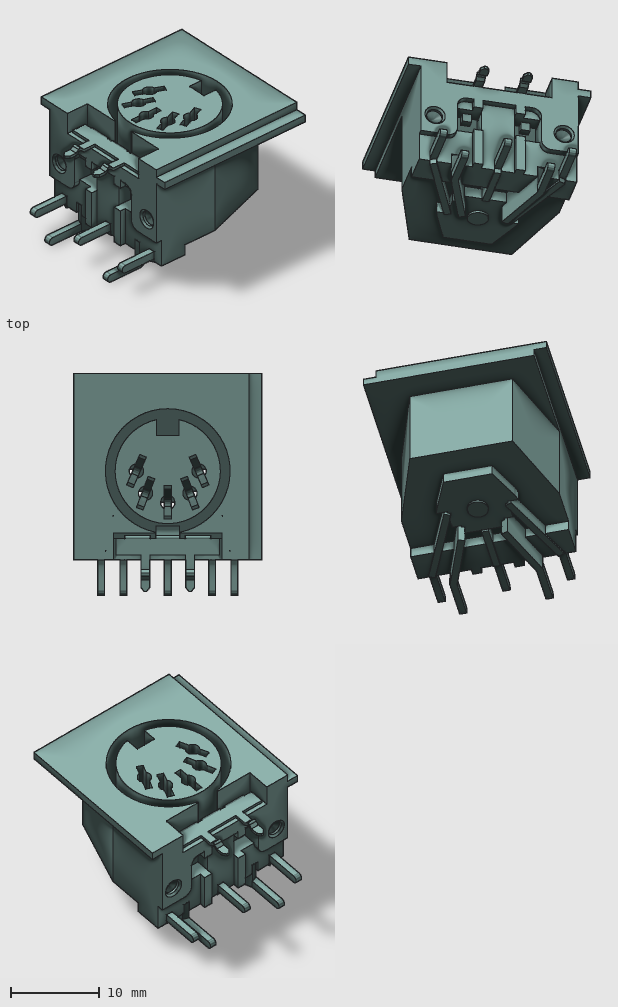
import cadquery as cq
import math


top_half_span = 10.6
body_half_width = 9.15
plate_depth = 21.0
plate_thickness = 1.0
flange_bottom = -1.92
body_bottom = -12.0
foot_bottom = -13.35
foot_depth = 4.3
taper_start = 8.75
body_depth = 18.0
rear_half_width = 5.95

axis_y = 10.0
groove_outer_radius = 7.02
groove_inner_radius = 5.92
groove_depth = 8.5
key_half_width = 1.25
key_end_y = 14.0

recess_depth = 0.75
arch_half_width = 4.88
arch_top = -4.5
apron_bottom = -9.9
apron_radius = 1.1
rib_inner = 1.92
rib_outer = 2.98
window_top = -5.58
window_bottom = -8.65
window_depth = 2.75
stop_size = 1.05
stop_depth = 0.85
screw_x = 7.5
screw_z = -7.5
screw_radius = 0.92
screw_rim_radius = 1.18
screw_depth = 0.55
screw_cone_depth = 0.55
screw_rim_depth = 0.25

sheet = 0.35
bend_radius = 0.32
ledge_half_width = 6.1
ledge_depth = 3.0
ledge_floor = -2.7
shield_half_width = 5.82
shield_front = 0.55
tab_inner = 2.0
tab_outer = 4.8
tab_bottom = -8.58
finger_half_width = 1.35
finger_bottom = -7.5
finger_lean = 1.08
slot_clearance = 0.05
prong_x = 2.52
prong_width = 1.0
prong_tip_y = -3.58
prong_taper = 0.45
prong_tip_width = 0.28
bump_start = -1.08
bump_end = -2.25
bump_rise = 0.78
bump_crest = 0.4
bump_ramp_rise = 0.3
shield_rear = window_depth
shield_top = ledge_floor + sheet

contact_thickness = 0.8
contact_circle = 3.52
contact_spacing_angle = 45.0
contact_hole_radius = 0.8
fork_half_width = 1.88
fork_tip = -3.0
fork_tip_width = 0.35
fork_throat_radius = 0.45
fork_funnel_angle = 50.0
fork_throat_z = -6.5
pin_height = 1.0
pin_tip_y = -4.0
blade_front_y = 0.88
pin_overlap = 0.2
short_blade_bottom = -13.62
long_blade_bottom = -15.5
inner_pin_x = 5.0
outer_pin_x = 7.5

cover_step_gap = 0.2
cover_half_width = 4.75
cover_corner = (4.52, 10.9)
cover_rear = (2.82, 14.8)
peg_radius = 1.2


def box(x_min, x_max, y_min, y_max, z_min, z_max):
    """Block given by its limits along each axis."""
    size = (x_max - x_min, y_max - y_min, z_max - z_min)
    return cq.Workplane("XY").box(*size, centered=False).translate((x_min, y_min, z_min))


def both_sides(shape):
    """The shape together with its mirror image across x = 0."""
    return shape.union(shape.mirror("YZ"))


def extrude_along_x(points, half_width):
    """Side profile in (y, z) extruded symmetrically about x = 0."""
    return cq.Workplane("YZ").polyline(points).close().extrude(half_width, both=True)



def contact_layout():
    """(hole x, hole y, pin x, blade bottom, pin bottom) for each of the five contacts."""
    upper_pin_bottom = body_bottom - pin_height
    outer = (outer_pin_x, short_blade_bottom, upper_pin_bottom)
    inner = (inner_pin_x, long_blade_bottom, long_blade_bottom)
    middle = (0.0, short_blade_bottom, upper_pin_bottom)
    layout = []
    for step in (-2, -1, 0, 1, 2):
        pin_x, blade_bottom, pin_bottom = (middle, inner, outer)[abs(step)]
        turn = math.radians(contact_spacing_angle * step)
        hole_x = contact_circle * math.sin(turn)
        hole_y = axis_y - contact_circle * math.cos(turn)
        layout.append((hole_x, hole_y, math.copysign(pin_x, step), blade_bottom, pin_bottom))
    return layout


def blade_plane(hole_x, hole_y, pin_x):
    """Vertical plane through the hole and the pin; its local x runs forward, its local y up."""
    forward = cq.Vector(pin_x - hole_x, blade_front_y - hole_y, 0).normalized()
    normal = forward.cross(cq.Vector(0, 0, 1))
    return cq.Plane(origin=(hole_x, hole_y, 0), xDir=forward, normal=normal)


def blade_length(hole_x, hole_y, pin_x):
    return math.hypot(pin_x - hole_x, blade_front_y - hole_y)


def contact(hole_x, hole_y, pin_x, blade_bottom, pin_bottom):
    """Forked sheet contact with a tail blade and a round-ended solder pin."""
    length = blade_length(hole_x, hole_y, pin_x)
    throat = fork_throat_radius
    prong_inner = fork_half_width - fork_tip_width
    lip_z = fork_tip - (prong_inner - throat) * math.tan(math.radians(fork_funnel_angle))
    blade = (
        cq.Workplane(blade_plane(hole_x, hole_y, pin_x))
        .moveTo(-fork_half_width, body_bottom)
        .lineTo(-fork_half_width, fork_tip)
        .lineTo(-prong_inner, fork_tip)
        .lineTo(-throat, lip_z)
        .lineTo(-throat, fork_throat_z)
        .threePointArc((0, fork_throat_z - throat), (throat, fork_throat_z))
        .lineTo(throat, lip_z)
        .lineTo(prong_inner, fork_tip)
        .lineTo(fork_half_width, fork_tip)
        .lineTo(fork_half_width, body_bottom)
        .lineTo(length, body_bottom)
        .lineTo(length, blade_bottom)
        .lineTo(0, blade_bottom)
        .lineTo(0, body_bottom)
        .close()
        .extrude(contact_thickness / 2, both=True)
    )
    tip_radius = pin_height / 2
    pin_rear = blade_front_y + pin_overlap
    pin = (
        cq.Workplane("YZ", origin=(pin_x, 0, 0))
        .moveTo(pin_rear, pin_bottom)
        .lineTo(pin_tip_y + tip_radius, pin_bottom)
        .threePointArc(
            (pin_tip_y, pin_bottom + tip_radius),
            (pin_tip_y + tip_radius, pin_bottom + pin_height),
        )
        .lineTo(pin_rear, pin_bottom + pin_height)
        .close()
        .extrude(contact_thickness / 2, both=True)
    )
    return blade.union(pin)


def tail_space(hole_x, hole_y, pin_x):
    """Space taken by one tail blade below the housing body."""
    length = blade_length(hole_x, hole_y, pin_x)
    return (
        cq.Workplane(blade_plane(hole_x, hole_y, pin_x))
        .polyline([(0, body_bottom), (length, body_bottom), (length, foot_bottom), (0, foot_bottom)])
        .close()
        .extrude(contact_thickness / 2, both=True)
    )


def contact_cavity(hole_x, hole_y, pin_x):
    """Space in the housing for one contact: round hole, fork slot, blade slot and pin notch."""
    hole = cq.Workplane("XY").center(hole_x, hole_y).circle(contact_hole_radius).extrude(body_bottom)
    plane = blade_plane(hole_x, hole_y, pin_x)
    fork_slot = (
        cq.Workplane(plane)
        .polyline([
            (-fork_half_width, 0),
            (fork_half_width, 0),
            (fork_half_width, body_bottom),
            (-fork_half_width, body_bottom),
        ])
        .close()
        .extrude(contact_thickness / 2, both=True)
    )
    half = contact_thickness / 2
    notch = box(pin_x - half, pin_x + half, 0, blade_front_y + pin_overlap, foot_bottom, body_bottom)
    return hole.union(fork_slot).union(notch).union(tail_space(hole_x, hole_y, pin_x))



def housing_blank():
    """Top plate, offset flange layer, tapered body and front foot."""
    plate = box(-top_half_span, body_half_width, 0, plate_depth, -plate_thickness, 0)
    flange = box(-body_half_width, top_half_span, 0, plate_depth, flange_bottom, -plate_thickness)
    body = (
        cq.Workplane("XY")
        .polyline([
            (-body_half_width, 0),
            (body_half_width, 0),
            (body_half_width, taper_start),
            (rear_half_width, body_depth),
            (-rear_half_width, body_depth),
            (-body_half_width, taper_start),
        ])
        .close()
        .extrude(body_bottom)
    )
    foot = box(-body_half_width, body_half_width, 0, foot_depth, foot_bottom, body_bottom)
    return plate.union(flange).union(body).union(foot)


def socket_groove():
    """Ring groove around the contact disc, with the key slot."""
    ring = (
        cq.Workplane("XY")
        .center(0, axis_y)
        .circle(groove_outer_radius)
        .circle(groove_inner_radius)
        .extrude(-groove_depth)
    )
    key_outer_y = axis_y + (groove_inner_radius + groove_outer_radius) / 2
    key = box(-key_half_width, key_half_width, key_end_y, key_outer_y, -groove_depth, 0)
    return ring.union(key)


def front_recess():
    """Shallow arched recess of the front face, leaving two aprons and two ribs."""
    radius = apron_radius
    arc_inset = radius * (1 - math.sqrt(0.5))
    right_half = (
        cq.Workplane("XZ")
        .moveTo(0, foot_bottom)
        .lineTo(body_half_width, foot_bottom)
        .lineTo(body_half_width, apron_bottom)
        .lineTo(arch_half_width + radius, apron_bottom)
        .threePointArc(
            (arch_half_width + arc_inset, apron_bottom + arc_inset),
            (arch_half_width, apron_bottom + radius),
        )
        .lineTo(arch_half_width, arch_top - radius)
        .threePointArc(
            (arch_half_width - arc_inset, arch_top - arc_inset),
            (arch_half_width - radius, arch_top),
        )
        .lineTo(0, arch_top)
        .close()
        .extrude(-recess_depth)
    )
    rib = box(rib_inner, rib_outer, 0, recess_depth, foot_bottom, arch_top)
    return both_sides(right_half.cut(rib))


def windows():
    """Two deep windows, each with a stop block left hanging from its ceiling."""
    window = box(rib_inner, arch_half_width, 0, window_depth, window_bottom, window_top)
    center = (rib_inner + arch_half_width) / 2
    tab_front = shield_rear - sheet
    stop = box(
        center - stop_size / 2, center + stop_size / 2,
        tab_front - stop_depth, tab_front,
        window_top - stop_size, window_top,
    )
    return both_sides(window.cut(stop))


def screw_holes():
    """Two blind holes with a chamfered rim and a conical bottom."""
    profile = [
        (0, 0),
        (screw_rim_radius, 0),
        (screw_radius, screw_rim_depth),
        (screw_radius, screw_depth),
        (0, screw_depth + screw_cone_depth),
    ]
    hole = cq.Workplane("XY").polyline(profile).close().revolve(360, (0, 0, 0), (0, 1, 0))
    return both_sides(hole.translate((screw_x, 0, screw_z)))


def shield_pocket():
    """Ledge for the shield plate and the slots behind it for its tabs and its spring finger."""
    ledge = box(-ledge_half_width, ledge_half_width, 0, ledge_depth, ledge_floor, 0)
    tab_front = shield_rear - sheet
    tab_slot = box(-ledge_half_width, ledge_half_width, tab_front, ledge_depth, window_top, ledge_floor)
    half = finger_half_width + slot_clearance
    finger_end = shield_rear + finger_lean + slot_clearance
    finger_slot = box(-half, half, tab_front, finger_end, -groove_depth, 0)
    return ledge.union(tab_slot).union(finger_slot)


def make_housing():
    shape = housing_blank()
    shape = shape.cut(socket_groove())
    shape = shape.cut(front_recess())
    shape = shape.cut(windows())
    shape = shape.cut(screw_holes())
    shape = shape.cut(shield_pocket())
    for hole_x, hole_y, pin_x, _, _ in contact_layout():
        shape = shape.cut(contact_cavity(hole_x, hole_y, pin_x))
    return shape



def shield_prong():
    """Forward prong with a raised bump and a pointed tip."""
    crest_rear = (bump_start + bump_end + bump_crest) / 2
    crest_middle = crest_rear - bump_crest / 2
    crest_front = crest_rear - bump_crest
    ramp_top = shield_top + bump_ramp_rise
    ramp_underside = ledge_floor + bump_ramp_rise
    bump_top = ledge_floor + bump_rise
    bump_underside = bump_top - sheet
    strip = (
        cq.Workplane("YZ")
        .moveTo(shield_front, ledge_floor)
        .lineTo(bump_start, ledge_floor)
        .lineTo(crest_rear, ramp_underside)
        .threePointArc((crest_middle, bump_underside), (crest_front, ramp_underside))
        .lineTo(bump_end, ledge_floor)
        .lineTo(prong_tip_y, ledge_floor)
        .lineTo(prong_tip_y, shield_top)
        .lineTo(bump_end, shield_top)
        .lineTo(crest_front, ramp_top)
        .threePointArc((crest_middle, bump_top), (crest_rear, ramp_top))
        .lineTo(bump_start, shield_top)
        .lineTo(shield_front, shield_top)
        .close()
        .extrude(prong_width / 2, both=True)
    )
    tip_start = prong_tip_y + prong_taper
    outline = (
        cq.Workplane("XY")
        .polyline([
            (-prong_width / 2, shield_front),
            (-prong_width / 2, tip_start),
            (-prong_tip_width / 2, prong_tip_y),
            (prong_tip_width / 2, prong_tip_y),
            (prong_width / 2, tip_start),
            (prong_width / 2, shield_front),
        ])
        .close()
        .extrude(ledge_floor)
    )
    return strip.intersect(outline).translate((prong_x, 0, 0))


def make_shield():
    """Ground shield: flat plate, two bent-down tabs, a leaning spring finger and two prongs."""
    tab_front = shield_rear - sheet
    plate = box(-shield_half_width, shield_half_width, shield_front, tab_front, ledge_floor, shield_top)
    tab = box(tab_inner, tab_outer, tab_front, shield_rear, tab_bottom, shield_top)
    tab = tab.edges("|X and >Y and >Z").fillet(bend_radius)
    finger = extrude_along_x(
        [
            (tab_front, shield_top),
            (shield_rear, shield_top),
            (shield_rear, ledge_floor),
            (shield_rear + finger_lean, finger_bottom),
            (tab_front + finger_lean, finger_bottom),
            (tab_front, ledge_floor),
        ],
        finger_half_width,
    )
    finger = finger.edges("|X and >Z").edges(">Y").fillet(bend_radius)
    return plate.union(both_sides(tab)).union(finger).union(both_sides(shield_prong()))



def make_cover():
    """Stepped rear cover plate behind the contact tails, with a central peg."""
    turn = math.radians(contact_spacing_angle)
    inner_x = contact_circle * math.sin(turn)
    middle_y = axis_y - contact_circle
    inner_y = axis_y - contact_circle * math.cos(turn) + cover_step_gap
    outer_y = axis_y + cover_step_gap
    right_side = [
        (inner_x, middle_y),
        (inner_x, inner_y),
        (contact_circle, inner_y),
        (contact_circle, outer_y),
        (cover_half_width, outer_y),
        cover_corner,
        cover_rear,
    ]
    left_side = [(-x, y) for x, y in reversed(right_side)]
    plate = (
        cq.Workplane("XY", origin=(0, 0, foot_bottom))
        .polyline(right_side + left_side)
        .close()
        .extrude(body_bottom - foot_bottom)
    )
    peg = (
        cq.Workplane("XY", origin=(0, axis_y, body_bottom))
        .circle(peg_radius)
        .extrude(short_blade_bottom - body_bottom)
    )
    for hole_x, hole_y, pin_x, _, _ in contact_layout():
        plate = plate.cut(tail_space(hole_x, hole_y, pin_x))
    return plate.union(peg)


housing = make_housing()
shield = make_shield()
cover = make_cover()
contacts = [contact(*place) for place in contact_layout()]

result = cq.Compound.makeCompound(
    [housing.val(), shield.val(), cover.val(), *[item.val() for item in contacts]]
)